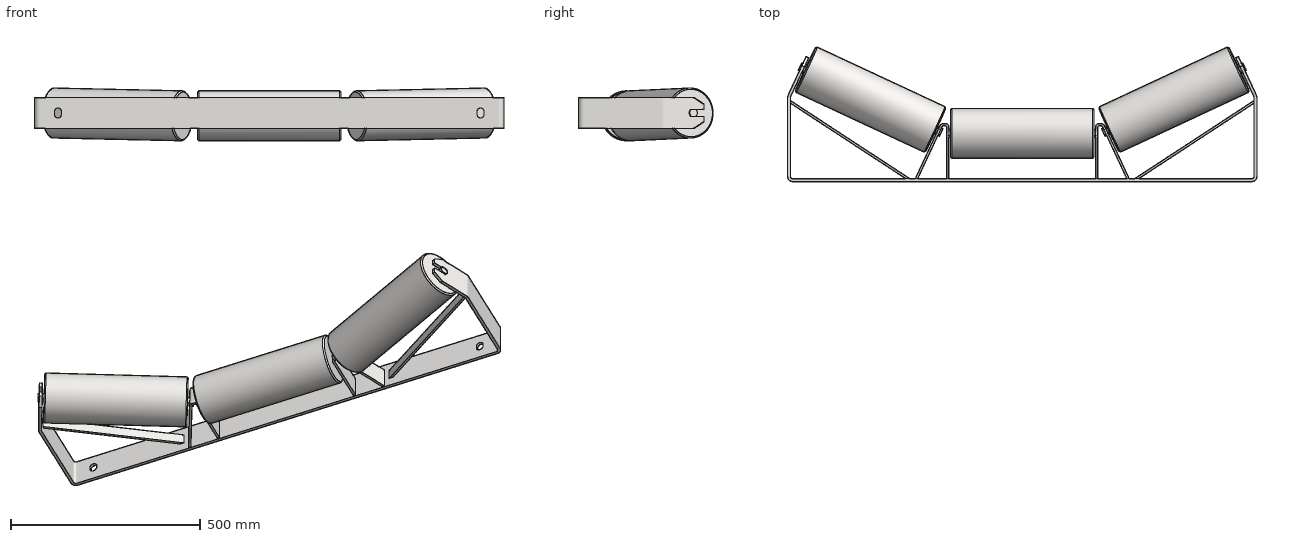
import cadquery as cq
import math

FRAME_LENGTH = 1240.0
BAR_HEIGHT = 80.0
BAR_THICKNESS = 8.0
CORNER_INNER_RADIUS = 6.0
TIP_INNER_RADIUS = 12.0
TIP_BEND_Y = 226.0
TIP_END_Y = 331.0
TIP_BEVEL_LENGTH = 27.0
TIP_BEVEL_DROP = 16.0

MOUNT_HOLE_X = 558.0
MOUNT_HOLE_WIDTH = 19.0
MOUNT_HOLE_HEIGHT = 26.0

PLATE_THICKNESS = 6.0
BRACKET_HEIGHT = 60.0
BRACKET_TOP_Y = 154.0
BRACKET_INNER_X = -193.0
BRACKET_FOOT_X = -283.0
BRACKET_INNER_RADIUS = 4.0
BRACE_HEIGHT = 30.0
BRACE_WALL_Y = 215.0
BRACE_FOOT_X = -296.0

ROLLER_DIAMETER = 133.0
ROLLER_LENGTH = 380.0
ROLLER_EDGE_CHAMFER = 4.0
AXLE_DIAMETER = 22.0
AXLE_FLATS = 19.0
TROUGH_ANGLE = 25.0
ROLLER_DROP = 7.0
MIDDLE_ROLLER_Y = 128.0
SIDE_ROLLER_X = 400.0
SIDE_ROLLER_Y = 217.0
MIDDLE_AXLE_STUB = 10.0
SIDE_AXLE_STUB = 16.0

LEAN = math.radians(TROUGH_ANGLE)
HALF_LENGTH = FRAME_LENGTH / 2
ROLLER_TILT = math.degrees(math.asin(ROLLER_DROP / ROLLER_LENGTH))


def prism(points, height):
    """Extrude a plan outline symmetrically about Z = 0."""
    return cq.Workplane("XY").polyline(points).close().extrude(height / 2, both=True)


def round_corner(body, corner, radius):
    """Fillet the upright edge that passes through a plan corner."""
    edge = cq.selectors.NearestToPointSelector((corner[0], corner[1], 0))
    return body.edges(edge).fillet(radius)


def bent_bar_half():
    """Left half of the bar: half the long side, the end wall and the leaning tip."""
    t = BAR_THICKNESS
    tip_rise = TIP_END_Y - TIP_BEND_Y
    outer_corner = (-HALF_LENGTH, 0)
    inner_corner = (-HALF_LENGTH + t, t)
    outer_bend = (-HALF_LENGTH, TIP_BEND_Y)
    inner_bend = (-HALF_LENGTH + t, TIP_BEND_Y - t * math.tan(LEAN / 2))
    outer_tip = (-HALF_LENGTH + tip_rise * math.tan(LEAN), TIP_END_Y)
    inner_tip = (outer_tip[0] + t * math.cos(LEAN), outer_tip[1] - t * math.sin(LEAN))
    outline = [(0, 0), outer_corner, outer_bend, outer_tip, inner_tip, inner_bend, inner_corner, (0, t)]
    bar = prism(outline, BAR_HEIGHT)
    bar = round_corner(bar, outer_corner, CORNER_INNER_RADIUS + t)
    bar = round_corner(bar, inner_corner, CORNER_INNER_RADIUS)
    bar = round_corner(bar, outer_bend, TIP_INNER_RADIUS + t)
    bar = round_corner(bar, inner_bend, TIP_INNER_RADIUS)
    return bar.cut(tip_bevels(outer_tip))


def tip_bevels(outer_tip):
    """Wedges that bevel the upper and lower corners of the tip."""
    plane = cq.Plane(
        origin=(outer_tip[0], outer_tip[1], 0),
        xDir=(math.sin(LEAN), math.cos(LEAN), 0),
        normal=(math.cos(LEAN), -math.sin(LEAN), 0),
    )
    corner_z = BAR_HEIGHT / 2
    wedge = (
        cq.Workplane(plane)
        .polyline([(0, corner_z), (-TIP_BEVEL_LENGTH, corner_z), (0, corner_z - TIP_BEVEL_DROP)])
        .close()
        .extrude(2 * BAR_THICKNESS, both=True)
    )
    return wedge.union(wedge.mirror("XY"))


def inner_bracket():
    """Folded plate with a leaning leg, a short top and an upright leg, standing on the long side."""
    t = PLATE_THICKNESS
    foot_y = BAR_THICKNESS
    slope = math.tan(LEAN)
    leg_width = t / math.cos(LEAN)
    under_y = BRACKET_TOP_Y - t
    outer_left = (BRACKET_FOOT_X + (BRACKET_TOP_Y - foot_y) * slope, BRACKET_TOP_Y)
    outer_right = (BRACKET_INNER_X, BRACKET_TOP_Y)
    inner_left = (BRACKET_FOOT_X + leg_width + (under_y - foot_y) * slope, under_y)
    inner_right = (BRACKET_INNER_X - t, under_y)
    outline = [
        (BRACKET_FOOT_X, foot_y),
        outer_left,
        outer_right,
        (BRACKET_INNER_X, foot_y),
        (BRACKET_INNER_X - t, foot_y),
        inner_right,
        inner_left,
        (BRACKET_FOOT_X + leg_width, foot_y),
    ]
    bracket = prism(outline, BRACKET_HEIGHT)
    for corner in (outer_left, outer_right):
        bracket = round_corner(bracket, corner, BRACKET_INNER_RADIUS + t)
    for corner in (inner_left, inner_right):
        bracket = round_corner(bracket, corner, BRACKET_INNER_RADIUS)
    return bracket.translate((0, 0, -ROLLER_DROP))


def brace():
    """Narrow diagonal plate from the end wall down to the long side."""
    wall_x = -HALF_LENGTH + BAR_THICKNESS
    foot_y = BAR_THICKNESS
    angle = math.atan2(BRACE_WALL_Y - foot_y, BRACE_FOOT_X - wall_x)
    outline = [
        (wall_x, BRACE_WALL_Y),
        (BRACE_FOOT_X, foot_y),
        (BRACE_FOOT_X - PLATE_THICKNESS / math.sin(angle), foot_y),
        (wall_x, BRACE_WALL_Y - PLATE_THICKNESS / math.cos(angle)),
    ]
    return prism(outline, BRACE_HEIGHT)


def mount_holes():
    return (
        cq.Workplane("XZ")
        .pushPoints([(-MOUNT_HOLE_X, 0), (MOUNT_HOLE_X, 0)])
        .slot2D(MOUNT_HOLE_HEIGHT, MOUNT_HOLE_WIDTH, 90)
        .extrude(BAR_THICKNESS, both=True)
    )


def axle(stub):
    """Axle with two flats, reaching a stub length beyond each end of the roller."""
    length = ROLLER_LENGTH + 2 * stub
    rod = cq.Workplane("YZ", origin=(-length / 2, 0, 0)).circle(AXLE_DIAMETER / 2).extrude(length)
    return rod.intersect(cq.Workplane("XY").box(length, AXLE_DIAMETER, AXLE_FLATS))


def roller(stub):
    end_face = cq.Workplane("YZ", origin=(-ROLLER_LENGTH / 2, 0, 0))
    drum = end_face.circle(ROLLER_DIAMETER / 2).extrude(ROLLER_LENGTH)
    drum = drum.edges().chamfer(ROLLER_EDGE_CHAMFER)
    return drum.union(axle(stub))


def tip_slot():
    """Cutter that opens the outer axle seat towards the end of the tip."""
    slot_length = ROLLER_DIAMETER / 2
    return (
        cq.Workplane("XY")
        .box(SIDE_AXLE_STUB * 2, slot_length, AXLE_FLATS, centered=(True, False, True))
        .translate((-ROLLER_LENGTH / 2 - SIDE_AXLE_STUB, 0, 0))
    )


def place_left(body):
    """Move a body from the roller axis at the origin to the left roller's place."""
    body = body.rotate((0, 0, 0), (0, 1, 0), ROLLER_TILT)
    body = body.rotate((0, 0, 0), (0, 0, 1), -TROUGH_ANGLE)
    return body.translate((-SIDE_ROLLER_X, SIDE_ROLLER_Y, -ROLLER_DROP / 2))


def place_middle(body):
    return body.translate((0, MIDDLE_ROLLER_Y, -ROLLER_DROP))


def side_roller(side):
    """Left roller for side -1, its mirror image for side +1."""
    left = place_left(roller(SIDE_AXLE_STUB))
    return left if side < 0 else left.mirror("YZ")


def frame():
    half = bent_bar_half().union(inner_bracket()).union(brace())
    half = half.cut(place_left(axle(SIDE_AXLE_STUB))).cut(place_left(tip_slot()))
    whole = half.union(half.mirror("YZ")).clean()
    return whole.cut(place_middle(axle(MIDDLE_AXLE_STUB))).cut(mount_holes())


troughing_frame = frame()
middle_roller = place_middle(roller(MIDDLE_AXLE_STUB))
side_rollers = [side_roller(side) for side in (-1, 1)]

result = cq.Compound.makeCompound(
    [troughing_frame.val(), middle_roller.val(), *[body.val() for body in side_rollers]]
)